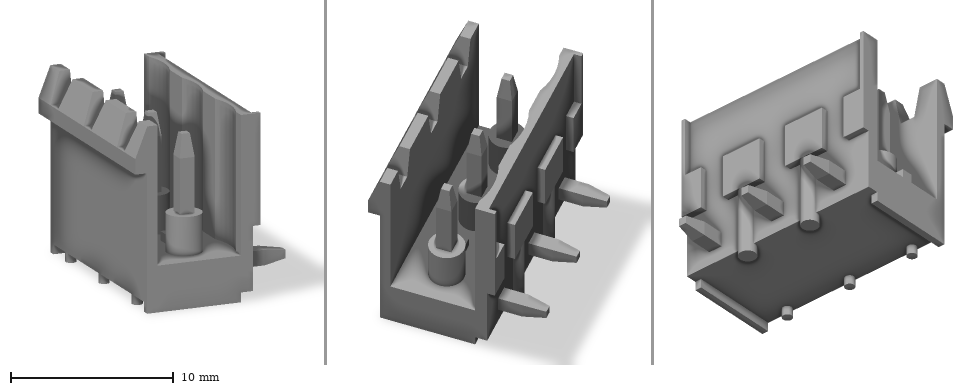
import cadquery as cq


pitch = 5.08
pin_count = 3
end_margin = 2.34
length = (pin_count - 1) * pitch + 2 * end_margin
left_end = -length / 2
contact_xs = [(i - (pin_count - 1) / 2) * pitch for i in range(pin_count)]
gap_xs = [(a + b) / 2 for a, b in zip(contact_xs, contact_xs[1:])]

height = 12.0
floor_z = 3.0
underside_z = 0.63
cavity_half_width = 2.8
front_wall = 0.7
back_wall = 0.8
front_y = -cavity_half_width - front_wall
back_y = cavity_half_width + back_wall
standoff = 0.5
board_y = back_y + standoff

lip_overhang = 0.8
lip_bottom_z = 9.0
lip_edge_z = 10.0
notch_top_width = 2.0
notch_bottom_width = 1.1
notch_offset = 0.07

scallop_width = 3.22
scallop_depth = 0.3

standoff_bottom_z = 4.8
pad_width = 3.0
pad_height = 3.0
pad_top_z = standoff_bottom_z + pad_height
end_pad_width = 1.61
end_rib_width = 0.29

end_foot_width = 0.47
front_foot_diameter = 0.7
post_diameter = 1.2
collar_diameter = 2.3
collar_top_z = 5.5

key_width = 0.8
key_height = 0.6
key_reach = 2.72

pin_width = 1.0
pin_tip_width = 0.55
pin_tip_length = 1.5
pin_top_z = 10.6
tail_end_y = 6.7
tail_z = 2.1


def block(x0, x1, y0, y1, z0, z1):
    """Box between two opposite corners."""
    return cq.Workplane("XY").box(x1 - x0, y1 - y0, z1 - z0, centered=False).translate((x0, y0, z0))


def upright(x, y, diameter, z0, z1):
    """Vertical cylinder."""
    return cq.Workplane("XY", origin=(x, y, z0)).circle(diameter / 2).extrude(z1 - z0)


def make_shell():
    """U-shaped section with the latch lip, extruded along the row."""
    return (
        cq.Workplane("YZ", origin=(left_end, 0, 0))
        .moveTo(front_y, underside_z)
        .lineTo(front_y, lip_bottom_z)
        .lineTo(front_y - lip_overhang, lip_bottom_z)
        .lineTo(front_y - lip_overhang, lip_edge_z)
        .lineTo(front_y, height)
        .lineTo(-cavity_half_width, height)
        .lineTo(-cavity_half_width, floor_z)
        .lineTo(cavity_half_width, floor_z)
        .lineTo(cavity_half_width, height)
        .lineTo(back_y, height)
        .lineTo(back_y, underside_z)
        .close()
        .extrude(length)
    )


def make_notch(x):
    """Tapered cutter through the front wall above the lip edge."""
    return (
        cq.Workplane("XZ", origin=(x + notch_offset, -cavity_half_width, 0))
        .moveTo(-notch_bottom_width / 2, lip_edge_z)
        .lineTo(notch_bottom_width / 2, lip_edge_z)
        .lineTo(notch_top_width / 2, height)
        .lineTo(-notch_top_width / 2, height)
        .close()
        .extrude(front_wall + lip_overhang)
    )


def make_scallop(x):
    """Shallow arc-shaped cutter in the back wall, from the floor to the top."""
    return (
        cq.Workplane("XY", origin=(x, cavity_half_width, floor_z))
        .moveTo(-scallop_width / 2, 0)
        .threePointArc((0, scallop_depth), (scallop_width / 2, 0))
        .close()
        .extrude(height - floor_z)
    )


def make_key(x):
    """Floor rib from the collar toward -X, stopping at the housing end."""
    start = max(x - key_reach, left_end)
    return block(start, x, -key_width / 2, key_width / 2, floor_z, floor_z + key_height)


def make_end_details():
    """Foot, full-height rib and pad at the left end."""
    foot = block(left_end, left_end + end_foot_width, front_y, cavity_half_width, 0, underside_z)
    rib = block(left_end, left_end + end_rib_width, back_y, board_y, standoff_bottom_z, height)
    pad = block(left_end, left_end + end_pad_width, back_y, board_y, standoff_bottom_z, pad_top_z)
    return foot, rib, pad


def make_pin(x):
    """Right-angle square pin with both ends tapered."""
    half = pin_width / 2
    taper_z = pin_top_z - pin_tip_length
    taper_y = tail_end_y - pin_tip_length
    upper_leg = block(x - half, x + half, -half, half, tail_z - half, taper_z)
    tail = block(x - half, x + half, -half, taper_y, tail_z - half, tail_z + half)
    upper_tip = (
        cq.Workplane("XY", origin=(x, 0, taper_z))
        .rect(pin_width, pin_width)
        .workplane(offset=pin_tip_length)
        .rect(pin_tip_width, pin_tip_width)
        .loft(ruled=True)
    )
    tail_tip = (
        cq.Workplane("XZ", origin=(x, taper_y, tail_z))
        .rect(pin_width, pin_width)
        .workplane(offset=-pin_tip_length)
        .rect(pin_tip_width, pin_tip_width)
        .loft(ruled=True)
    )
    return upper_leg.union(tail).union(upper_tip).union(tail_tip)


def make_housing(pins):
    """Moulded housing with a fitting passage for every pin."""
    housing = make_shell()
    for x in contact_xs:
        housing = housing.cut(make_notch(x)).cut(make_scallop(x))
        housing = housing.union(upright(x, 0, collar_diameter, floor_z, collar_top_z))
        housing = housing.union(make_key(x))
        foot_y = front_y + front_foot_diameter / 2
        housing = housing.union(upright(x, foot_y, front_foot_diameter, 0, underside_z))
    for x in gap_xs:
        post_y = board_y - post_diameter / 2
        housing = housing.union(upright(x, post_y, post_diameter, 0, standoff_bottom_z))
        pad = block(x - pad_width / 2, x + pad_width / 2, back_y, board_y, standoff_bottom_z, pad_top_z)
        housing = housing.union(pad)
    for detail in make_end_details():
        housing = housing.union(detail).union(detail.mirror("YZ"))
    for pin in pins:
        housing = housing.cut(pin)
    return housing


contact_pins = [make_pin(x) for x in contact_xs]
housing = make_housing(contact_pins)

result = cq.Compound.makeCompound([housing.val(), *[pin.val() for pin in contact_pins]])